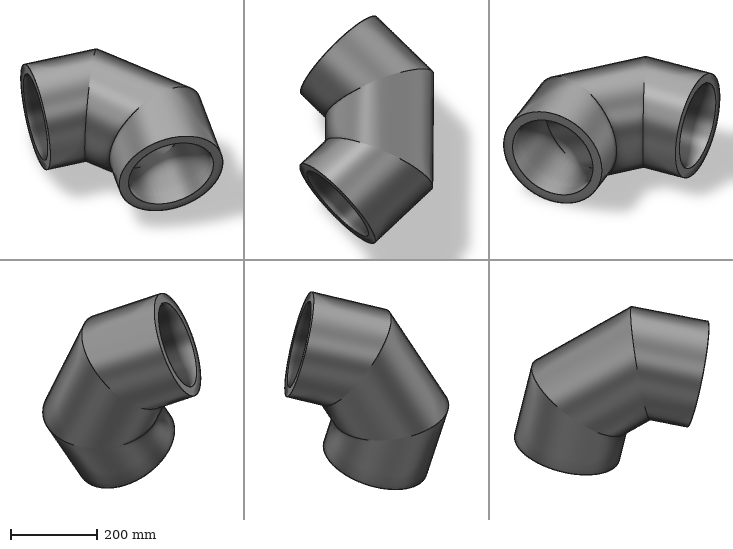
import cadquery as cq

overall_size = 379.0
outer_diameter = 250.0
bore_diameter = 204.5
leg_length = 134.5

outer_radius = outer_diameter / 2
end_distance = overall_size - outer_radius
mitre_distance = end_distance - leg_length

pipe_axis = cq.Workplane("XY").polyline(
    [
        (0, -end_distance),
        (0, -mitre_distance),
        (mitre_distance, 0),
        (end_distance, 0),
    ]
)

pipe_section = (
    cq.Workplane("XZ", origin=(0, -end_distance, 0))
    .circle(outer_radius)
    .circle(bore_diameter / 2)
)

result = pipe_section.sweep(pipe_axis, transition="right")